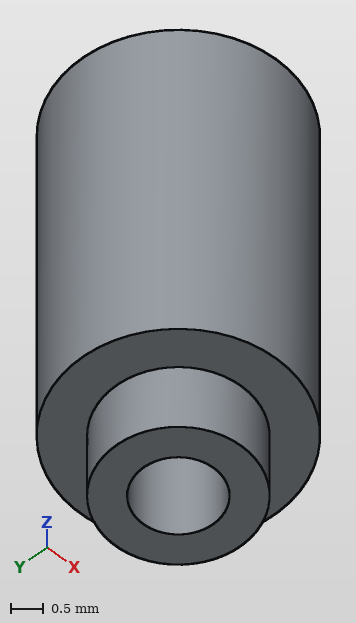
import cadquery as cq

body_diameter = 4.35
body_height = 7.0
spigot_diameter = 2.8
spigot_height = 1.4
bore_diameter = 1.57

total_height = spigot_height + body_height


def cylinder(diameter, height, base_z):
    """Upright cylinder on the Z axis, standing on base_z."""
    return cq.Workplane("XY").workplane(offset=base_z).circle(diameter / 2).extrude(height)


body = cylinder(body_diameter, body_height, 0)
spigot = cylinder(spigot_diameter, spigot_height, -spigot_height)

bore = cylinder(bore_diameter, total_height, -spigot_height)

result = body.union(spigot).cut(bore)